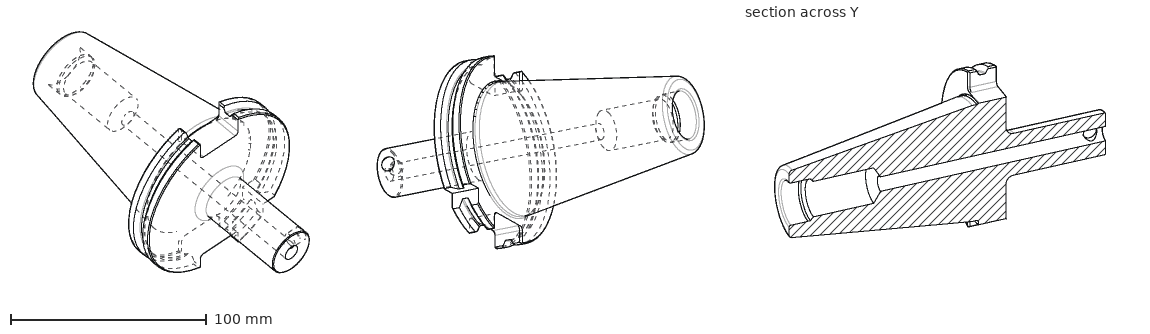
import cadquery as cq
import math


gauge_radius = 69.85 / 2
taper_length = 101.6
taper_slope = 7 / 48
tip_radius = gauge_radius - taper_slope * taper_length
tip_x = -taper_length
tip_fillet = 2.0

flange_radius = 97.5 / 2
flange_front_x = 3.35
flange_back_x = 19.05
flange_edge_chamfer = 0.6
neck_fillet = 0.8

groove_x = (flange_front_x + flange_back_x) / 2
groove_depth = 3.4
groove_floor_width = 3.2
groove_floor_fillet = 0.8
groove_wall_angle = 30
groove_mouth_width = groove_floor_width + 2 * groove_depth * math.tan(math.radians(groove_wall_angle))

slot_width = 25.7
slot_floor_top = 35.4
slot_floor_bottom = 37.7
slot_corner_radius = 2.0
slot_edge_chamfer = 1.0
notch_offset = 30.0

shank_radius = 25.4 / 2
overall_length = 175.7
shank_end_x = tip_x + overall_length
shank_fillet = 4.0
shank_end_chamfer = 0.5

pilot_radius = 25.0 / 2
pilot_depth = 10.5
pilot_mouth_fillet = 1.0
recess_radius = 24.8 / 2
recess_end_depth = 11.9
thread_radius = 21.0 / 2
thread_lead_in_length = 1.6
thread_end_depth = 47.0
drill_point_half_angle = 59
coolant_radius = 8.4 / 2
drill_point_length = (thread_radius - coolant_radius) / math.tan(math.radians(drill_point_half_angle))

screw_radius = 7.5 / 2
screw_from_end = 6.8
screw_x = shank_end_x - screw_from_end
screw_tip_clearance = 1.0
screw_tip_y = coolant_radius + screw_tip_clearance


def revolve_x(profile):
    return profile.close().revolve(360, (0, 0, 0), (1, 0, 0))


def ring_edges(x, radius):
    """Selector box around a full circle centred on the X axis."""
    tolerance = 0.01
    reach = radius + tolerance
    return cq.selectors.BoxSelector(
        (x - tolerance, -reach, -reach), (x + tolerance, reach, reach), boundingbox=True
    )


def make_taper_and_shank():
    body = revolve_x(
        cq.Workplane("XZ")
        .moveTo(tip_x, 0)
        .lineTo(tip_x, tip_radius)
        .lineTo(0, gauge_radius)
        .lineTo(flange_front_x, gauge_radius)
        .lineTo(flange_front_x, flange_radius)
        .lineTo(groove_x - groove_mouth_width / 2, flange_radius)
        .lineTo(groove_x - groove_floor_width / 2, flange_radius - groove_depth)
        .lineTo(groove_x + groove_floor_width / 2, flange_radius - groove_depth)
        .lineTo(groove_x + groove_mouth_width / 2, flange_radius)
        .lineTo(flange_back_x, flange_radius)
        .lineTo(flange_back_x, shank_radius)
        .lineTo(shank_end_x, shank_radius)
        .lineTo(shank_end_x, 0)
    )
    body = body.edges(ring_edges(tip_x, tip_radius)).fillet(tip_fillet)
    body = body.edges(ring_edges(flange_front_x, gauge_radius)).fillet(neck_fillet)
    body = body.edges(ring_edges(flange_back_x, shank_radius)).fillet(shank_fillet)
    body = body.edges(ring_edges(shank_end_x, shank_radius)).chamfer(shank_end_chamfer)
    for offset in (-groove_floor_width / 2, groove_floor_width / 2):
        floor_edge = body.edges(ring_edges(groove_x + offset, flange_radius - groove_depth))
        body = floor_edge.fillet(groove_floor_fillet)
    for x in (flange_front_x, flange_back_x):
        rim = body.edges(ring_edges(x, flange_radius)).edges(cq.selectors.RadiusNthSelector(-1))
        body = rim.chamfer(flange_edge_chamfer)
    return body


def make_bore():
    pilot_end_x = tip_x + pilot_depth
    recess_end_x = tip_x + recess_end_depth
    thread_end_x = tip_x + thread_end_depth
    return revolve_x(
        cq.Workplane("XZ")
        .moveTo(tip_x, 0)
        .lineTo(tip_x, pilot_radius + pilot_mouth_fillet)
        .radiusArc((tip_x + pilot_mouth_fillet, pilot_radius), -pilot_mouth_fillet)
        .lineTo(pilot_end_x, pilot_radius)
        .lineTo(pilot_end_x, recess_radius)
        .lineTo(recess_end_x, recess_radius)
        .lineTo(recess_end_x + thread_lead_in_length, thread_radius)
        .lineTo(thread_end_x, thread_radius)
        .lineTo(thread_end_x + drill_point_length, coolant_radius)
        .lineTo(shank_end_x, coolant_radius)
        .lineTo(shank_end_x, 0)
    )


def slot_profile(plane_x, half_width, floor, side):
    """Slot outline with rounded floor corners, on a plane across the axis.

    side is +1 for the top slot and -1 for the bottom one.
    """
    floor_z = side * floor
    corner_z = side * (floor + slot_corner_radius)
    open_z = side * (flange_radius + slot_edge_chamfer)
    flat_half = half_width - slot_corner_radius
    return (
        cq.Workplane("YZ", origin=(plane_x, 0, 0))
        .moveTo(-half_width, open_z)
        .lineTo(-half_width, corner_z)
        .radiusArc((-flat_half, floor_z), -side * slot_corner_radius)
        .lineTo(flat_half, floor_z)
        .radiusArc((half_width, corner_z), -side * slot_corner_radius)
        .lineTo(half_width, open_z)
        .close()
    )


def make_drive_slot(floor, side):
    half_width = slot_width / 2
    return slot_profile(flange_front_x, half_width, floor, side).extrude(flange_back_x - flange_front_x)


def make_slot_lead_in(floor, side):
    """Widening of the slot towards the front face, which bevels its walls but not its floor."""
    wide = slot_profile(flange_front_x, slot_width / 2 + slot_edge_chamfer, floor, side)
    narrow = slot_profile(flange_front_x + slot_edge_chamfer, slot_width / 2, floor, side)
    sections = [profile.val() for profile in (wide, narrow)]
    return cq.Workplane(cq.Solid.makeLoft(sections, True))


def bevel_slot_mouths(body):
    """Chamfer the edges where the slot walls meet the outside of the flange."""
    for side in (1, -1):
        land_edges = cq.selectors.BoxSelector(
            (flange_front_x, -slot_width, side * (flange_radius - groove_depth)),
            (flange_back_x, slot_width, side * flange_radius),
        )
        body = body.faces("|Y").edges("|X").edges(land_edges).chamfer(slot_edge_chamfer)
    return body


def make_notch():
    size = flange_radius
    return (
        cq.Workplane("XY")
        .box(flange_back_x - flange_front_x, size, size)
        .translate((groove_x, notch_offset + size / 2, -notch_offset - size / 2))
    )


def make_screw_cylinder(start_y, end_y):
    return (
        cq.Workplane("XZ", origin=(screw_x, start_y, 0)).circle(screw_radius).extrude(start_y - end_y)
    )


holder = make_taper_and_shank().cut(make_bore())
drive_slots = ((slot_floor_top, 1), (slot_floor_bottom, -1))
for slot_floor, slot_side in drive_slots:
    holder = holder.cut(make_drive_slot(slot_floor, slot_side))
holder = bevel_slot_mouths(holder)
for slot_floor, slot_side in drive_slots:
    holder = holder.cut(make_slot_lead_in(slot_floor, slot_side))
holder = holder.cut(make_notch())
holder = holder.cut(make_screw_cylinder(0, shank_radius))

screw = make_screw_cylinder(screw_tip_y, shank_radius)

result = cq.Compound.makeCompound([holder.val(), screw.val()])